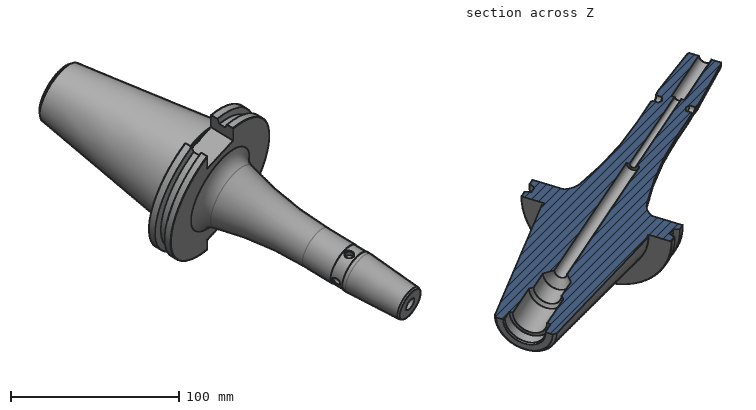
import cadquery as cq
import math

total_length = 261.5
taper_end = 101.8
taper_land_end = 102.5
flange_start = 104.0
flange_end = 120.5
neck_fillet_end = 129.5
neck_end = 191.5
shank_end = 212.5
band_end = 221.0
collar_end = 223.5

taper_diameter = 69.5
taper_slope = 7 / 24
taper_small_diameter = taper_diameter - taper_slope * taper_end
rear_chamfer = 1.8
relief_diameter = 68.0

flange_diameter = 98.4
groove_diameter = 90.8
groove_center = 112.5
groove_floor_width = 4.2
groove_mouth_width = 7.0
flange_edge_chamfer = 0.3
slot_width = 25.6
upper_slot_floor = 35.0
lower_slot_floor = 37.5

neck_root_radius = 29.0
neck_fillet_radius = 21.7
neck_slope = math.radians(13)
shank_diameter = 27.0
band_diameter = 26.5
nose_diameter = 22.2
nose_chamfer = 1.3

bore_mouth_diameter = 27.7
pilot_diameter = 26.7
thread_diameter = 22.2
inner_diameter = 18.0
channel_diameter = 8.0
coolant_diameter = 4.2
tool_diameter = 8.0
mouth_chamfer_depth = 1.3
pilot_depth = 7.8
thread_depth = 31.5
inner_depth = 47.0
cone_depth = 52.3
channel_depth = 157.0
tool_bore_depth = 39.2

balance_hole_count = 4
balance_hole_x = 216.3
balance_hole_diameter = 5.0
balance_mouth_diameter = 6.3
balance_hole_depth = 4.2
balance_chamfer = (balance_mouth_diameter - balance_hole_diameter) / 2


def revolve_about_x(profile):
    return profile.close().revolve(360, (0, 0, 0), (1, 0, 0))


def tangent_arc_midpoint(start, end, end_slope):
    """Middle of the arc from start to end whose tangent at end has end_slope."""
    dx = end[0] - start[0]
    dy = end[1] - start[1]
    half_turn = end_slope - math.atan2(dy, dx)
    sagitta = math.hypot(dx, dy) / 2 * math.tan(half_turn / 2)
    chord = math.hypot(dx, dy)
    middle_x = (start[0] + end[0]) / 2
    middle_y = (start[1] + end[1]) / 2
    return middle_x + sagitta * dy / chord, middle_y - sagitta * dx / chord


def make_body():
    root = (flange_end, neck_root_radius)
    meeting = (neck_fillet_end, neck_fillet_radius)
    shank = (neck_end, shank_diameter / 2)
    flange_radius = flange_diameter / 2
    edge_radius = flange_radius - flange_edge_chamfer
    rear_rim_radius = (taper_small_diameter + taper_slope * rear_chamfer) / 2
    half_floor = groove_floor_width / 2
    half_mouth = groove_mouth_width / 2
    profile = (
        cq.Workplane("XY")
        .moveTo(0, 0)
        .lineTo(0, rear_rim_radius - rear_chamfer)
        .lineTo(rear_chamfer, rear_rim_radius)
        .lineTo(taper_end, taper_diameter / 2)
        .lineTo(taper_land_end, taper_diameter / 2)
        .lineTo(taper_land_end, relief_diameter / 2)
        .lineTo(flange_start, relief_diameter / 2)
        .lineTo(flange_start, edge_radius)
        .lineTo(flange_start + flange_edge_chamfer, flange_radius)
        .lineTo(groove_center - half_mouth, flange_radius)
        .lineTo(groove_center - half_floor, groove_diameter / 2)
        .lineTo(groove_center + half_floor, groove_diameter / 2)
        .lineTo(groove_center + half_mouth, flange_radius)
        .lineTo(flange_end - flange_edge_chamfer, flange_radius)
        .lineTo(flange_end, edge_radius)
        .lineTo(*root)
        .threePointArc(tangent_arc_midpoint(root, meeting, -neck_slope), meeting)
        .threePointArc(tangent_arc_midpoint(meeting, shank, 0), shank)
        .lineTo(shank_end, shank_diameter / 2)
        .lineTo(shank_end, band_diameter / 2)
        .lineTo(band_end, band_diameter / 2)
        .lineTo(band_end, shank_diameter / 2)
        .lineTo(collar_end, shank_diameter / 2)
        .lineTo(total_length - nose_chamfer, nose_diameter / 2)
        .lineTo(total_length, nose_diameter / 2 - nose_chamfer / 2)
        .lineTo(total_length, 0)
    )
    return revolve_about_x(profile)


def make_bore():
    tool_bore_start = total_length - tool_bore_depth
    shoulder_chamfer = (thread_diameter - inner_diameter) / 2
    profile = (
        cq.Workplane("XY")
        .moveTo(0, 0)
        .lineTo(0, bore_mouth_diameter / 2)
        .lineTo(mouth_chamfer_depth, pilot_diameter / 2)
        .lineTo(pilot_depth, pilot_diameter / 2)
        .lineTo(pilot_depth, thread_diameter / 2)
        .lineTo(thread_depth, thread_diameter / 2)
        .lineTo(thread_depth + shoulder_chamfer, inner_diameter / 2)
        .lineTo(inner_depth, inner_diameter / 2)
        .lineTo(cone_depth, channel_diameter / 2)
        .lineTo(channel_depth, channel_diameter / 2)
        .lineTo(channel_depth, coolant_diameter / 2)
        .lineTo(tool_bore_start, coolant_diameter / 2)
        .lineTo(tool_bore_start, tool_diameter / 2)
        .lineTo(total_length, tool_diameter / 2)
        .lineTo(total_length, 0)
    )
    return revolve_about_x(profile)


def make_drive_slot(floor, side):
    """Slot cut through the flange; side is 1 for +Z and -1 for -Z."""
    depth = flange_diameter / 2 - floor
    return (
        cq.Workplane("XY")
        .box(flange_end - flange_start, slot_width, depth)
        .translate(((flange_start + flange_end) / 2, 0, side * (floor + depth / 2)))
    )


def make_balance_hole(angle):
    """Blind radial hole with a chamfered mouth and a pointed bottom."""
    surface = band_diameter / 2
    bottom = surface - balance_hole_depth
    hole_radius = balance_hole_diameter / 2
    tip = bottom - hole_radius / 2
    profile = (
        cq.Workplane("XZ")
        .moveTo(0, tip)
        .lineTo(hole_radius, bottom)
        .lineTo(hole_radius, surface - balance_chamfer)
        .lineTo(balance_mouth_diameter / 2, surface)
        .lineTo(0, surface)
        .close()
    )
    hole = profile.revolve(360, (0, 0, 0), (0, 1, 0))
    return hole.translate((balance_hole_x, 0, 0)).rotate((0, 0, 0), (1, 0, 0), angle)


result = make_body().cut(make_bore())
result = result.cut(make_drive_slot(upper_slot_floor, 1))
result = result.cut(make_drive_slot(lower_slot_floor, -1))
for index in range(balance_hole_count):
    result = result.cut(make_balance_hole(index * 360 / balance_hole_count))